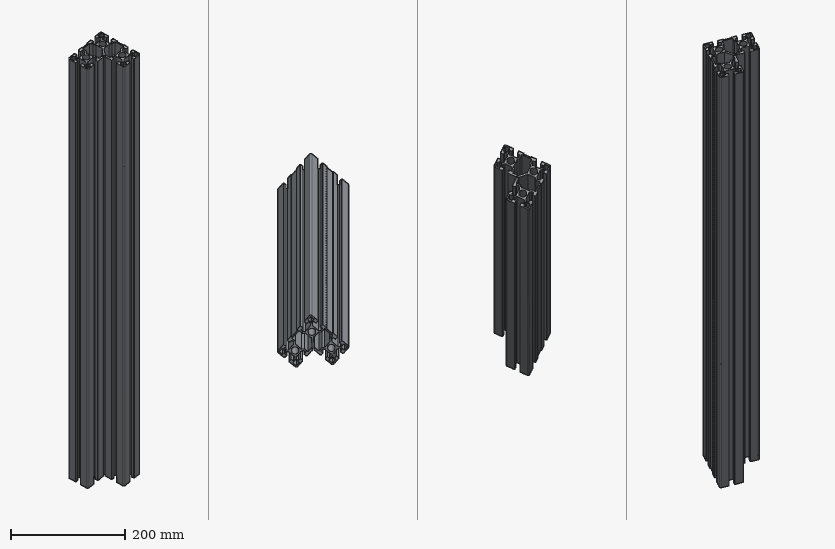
import cadquery as cq

length = 1000.0
cell = 45.0
mid = cell / 2
corner_radius = 3.0

core_half = 9.3
bore_diameter = 13.0

mouth_width = 10.0
mouth_chamfer = 0.7
lip = 6.0
slot_width = 20.0
slot_floor = 14.0

hollow_wall = 2.7
hollow_size = 8.0
hollow_chamfer = 1.0

chamber_wall = 4.0
chamber_width = 19.0
chamber_side = 14.0
corner_web = 2.5

groove_width = 15.0
groove_depth = 1.5

cells = [
    ((-mid, mid), (90, 180), (90,)),
    ((mid, mid), (0, 90, 270), (0, 270)),
    ((-mid, -mid), (0, 180, 270), (180, 270)),
]


def prism(points):
    return cq.Workplane("XY").polyline(points).close().extrude(length)


def place(body, angle, centre):
    """Turn a body about Z and move it to a cell centre."""
    return body.rotate((0, 0, 0), (0, 0, 1), angle).translate((*centre, 0))


def swap_legs(body):
    """Mirror a body across the plane y = -x, which swaps the two legs of the L."""
    return body.mirror("XZ").rotate((0, 0, 0), (0, 0, 1), -90)


def l_bar():
    """Solid L bar with rounded outer edges and a sharp inner edge, standing on Z = 0."""
    outline = [(-cell, -cell), (0, -cell), (0, 0), (cell, 0), (cell, cell), (-cell, cell)]
    inner_edge = cq.selectors.NearestToPointSelector((0, 0, length / 2))
    vertical = cq.selectors.ParallelDirSelector(cq.Vector(0, 0, 1))
    return prism(outline).edges(vertical - inner_edge).fillet(corner_radius)


def inner_corner_notch():
    """Notch at the inner corner, where the two legs meet with rounded cell corners."""
    r = corner_radius
    middle = r * (1 - 0.5**0.5)
    return (
        cq.Workplane("XY")
        .moveTo(0, -r)
        .threePointArc((-middle, -middle), (-r, 0))
        .lineTo(0, r)
        .threePointArc((middle, middle), (r, 0))
        .close()
        .extrude(length)
    )


def t_slot():
    """T-slot open towards +X, in a cell centred on the origin."""
    mouth, side, floor = mouth_width / 2, slot_width / 2, slot_floor / 2
    under_lip = mid - lip
    taper_end = core_half + side - floor
    half = [
        (mid, mouth + mouth_chamfer), (mid - mouth_chamfer, mouth), (under_lip, mouth),
        (under_lip, side), (taper_end, side), (core_half, floor),
    ]
    return prism(half + [(x, -y) for x, y in reversed(half)])


def corner_hollow():
    """Hollow in the +X +Y corner of a cell centred on the origin."""
    outer = mid - hollow_wall
    inner = outer - hollow_size
    cut_off = inner + hollow_chamfer
    return prism([(outer, outer), (inner, outer), (inner, cut_off), (cut_off, inner), (outer, inner)])


def chamber():
    """Chamber between the two upper cores, bounded below by the web to the inner corner."""
    narrow = chamber_width / 2
    wide = mid - core_half
    top = cell - chamber_wall
    bottom = chamber_wall
    side_top = mid + chamber_side / 2
    side_bottom = mid - chamber_side / 2
    slope = wide - narrow
    return prism([
        (-narrow, top), (narrow, top),
        (narrow, side_top + slope), (wide, side_top), (wide, side_bottom), (narrow, side_bottom - slope),
        (narrow, bottom), (corner_web - bottom, bottom),
        (-wide, corner_web + wide), (-wide, side_top), (-narrow, side_top + slope),
    ])


def groove():
    """Groove in the +Y face, centred between the two upper cores."""
    return cq.Workplane("XY").center(0, cell).rect(groove_width, 2 * groove_depth).extrude(length)


result = l_bar().cut(inner_corner_notch())

for centre, open_sides, free_corners in cells:
    bore = cq.Workplane("XY").circle(bore_diameter / 2).extrude(length)
    result = result.cut(place(bore, 0, centre))
    for angle in open_sides:
        result = result.cut(place(t_slot(), angle, centre))
    for angle in free_corners:
        result = result.cut(place(corner_hollow(), angle, centre))

for cutter in (chamber(), groove()):
    result = result.cut(cutter).cut(swap_legs(cutter))

result = result.translate((0, 0, -length / 2))